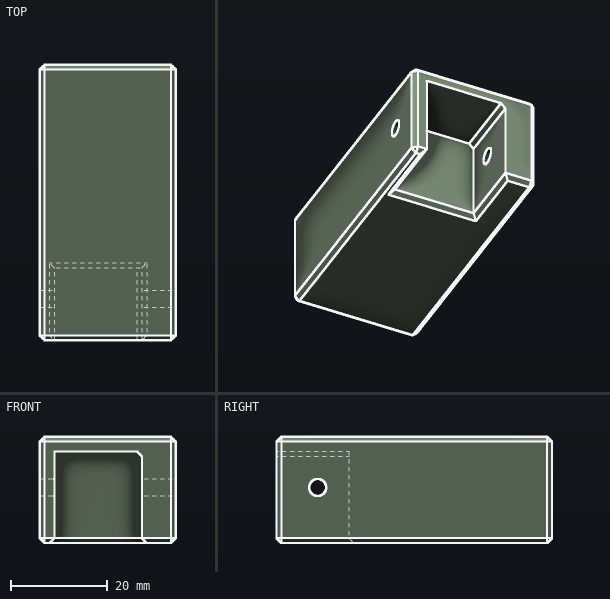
import cadquery as cq

width = 28.1
length = 57.0
height = 22.0
edge_chamfer = 1.0

thin_wall = 3.0
thick_wall = 7.0
roof = 3.0
channel_depth = 15.0
channel_width = width - thin_wall - thick_wall
channel_height = height - roof

hole_diameter = 3.5
hole_from_front = 8.55
hole_height = 11.5


def make_block():
    """Solid block with its front face at Y = 0 and its underside at Z = 0."""
    return cq.Workplane("XY").box(width, length, height, centered=False)


def make_channel():
    """Channel volume with one bevelled corner beside the thick wall."""
    channel = cq.Workplane("XY").box(channel_width, channel_depth, channel_height, centered=False)
    channel = channel.edges("|Y and >X and >Z").chamfer(edge_chamfer)
    return channel.translate((thin_wall, 0, 0))


def make_cross_hole():
    """Cylinder along X, long enough to pass through the whole width."""
    return (
        cq.Workplane("YZ")
        .center(hole_from_front, hole_height)
        .circle(hole_diameter / 2)
        .extrude(width)
    )


body = make_block().cut(make_channel())
outer_uprights = body.edges("|Z and (<X or >X)")
top_rim = body.faces(">Z").edges()
bottom_rim = body.faces("<Z").edges()
body = body.newObject(outer_uprights.vals() + top_rim.vals() + bottom_rim.vals()).chamfer(edge_chamfer)

result = body.cut(make_cross_hole())